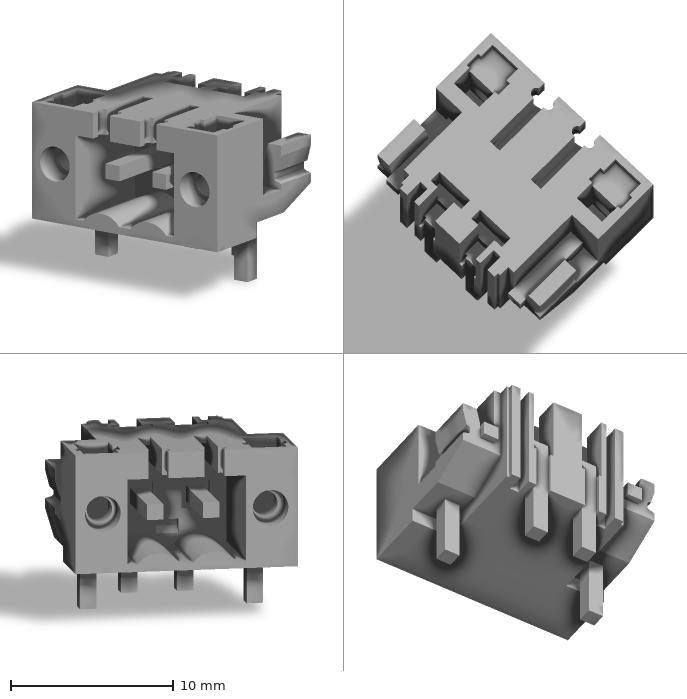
import cadquery as cq
import math


SIDES = (-1, 1)

width = 13.95
depth = 11.05
height = 7.45
core_half_width = 4.72
block_depth = 4.88

pin_width = 1.03
arm_height = 0.98
leg_depth = 1.02
arm_bottom = 3.0
arm_top = arm_bottom + arm_height
leg_bottom = -3.2

contact_x = 1.76
contact_tip_y = 1.2
contact_back_y = 10.71

anchor_x = core_half_width + pin_width / 2
anchor_front_y = 5.0
anchor_back_y = 10.52

cavity_width = 7.42
cavity_depth = 6.42
cavity_floor = 0.46
cavity_roof = 5.82
rib_radius = 1.73
rib_top = 1.12
contact_recess_size = 1.76
contact_recess_depth = 0.28
window_width = 1.4
window_bottom = 1.12
window_top = 2.0
window_slope = 0.42

slot_width = 0.85
slot_end_y = 5.04
slot_end_bottom = 6.95
neck_width = 1.25
lobe_radius = 0.33
lobe_offset = 0.53
lobe_y = 0.82

screw_x = 5.26
screw_z = 3.74
screw_radius = 1.12
screw_depth = 1.5
pilot_x = 5.19
pilot_radius = 0.8
pocket_x = 5.27
pocket_width = 2.19
pocket_front_y = 0.47
pocket_step_y = 2.52
pocket_back_y = 3.9
ear_width = 2.73
ear_x = 5.25
pocket_ledge_depth = 0.74
pocket_ledge = height - pocket_ledge_depth
nut_floor = screw_z - pocket_width / 2

shoulder_y = 10.03
shoulder_half_width = 4.24
rear_step_y = 10.74
rear_half_width = 4.06
notch_x = 3.14
notch_width = 0.61
notch_front_y = 9.88

channel_x = 1.75
channel_width = 1.4
channel_front_y = 9.43
inner_shelf_end_y = 10.55
outer_shelf = arm_bottom
tee_width = 2.61
tee_front_y = 8.6
tee_back_y = 9.37
tee_floor = 4.88

wing_front_y = 4.18
wing_bottom = 0.98
wing_floor = 2.5
wing_slope_y = 7.1
wing_rear_bottom = 2.25

latch_front_y = 6.82
latch_top = 5.3
latch_top_width = 0.98
latch_inner_bend = 4.23
latch_nose_z = 4.65
latch_nose_bottom = 3.63
latch_nose_inset = 0.27
groove_depth = 0.52
groove_upper_radius = 0.21
groove_wall_bottom = 3.07
groove_floor = 2.95
lip_width = 0.2
lip_edge = 2.86


def box(x_center, x_size, y_range, z_range):
    """A block centred on x_center that spans the given Y and Z ranges."""
    y0, y1 = y_range
    z0, z1 = z_range
    block = cq.Workplane("XY").box(x_size, y1 - y0, z1 - z0, centered=(True, False, False))
    return block.translate((x_center, y0, z0))


def cylinder_y(x, z, radius, y_range):
    """A cylinder along Y."""
    y0, y1 = y_range
    axis_start = cq.Vector(x, y0, z)
    return cq.Workplane(cq.Solid.makeCylinder(radius, y1 - y0, axis_start, cq.Vector(0, 1, 0)))


def cylinder_z(x, y, radius, z_range):
    """A cylinder along Z."""
    z0, z1 = z_range
    return cq.Workplane(cq.Solid.makeCylinder(radius, z1 - z0, cq.Vector(x, y, z0)))


def l_pin(x, arm_y_range, leg_front_y):
    """A horizontal arm along Y with a leg going down from it."""
    arm = box(x, pin_width, arm_y_range, (arm_bottom, arm_top))
    leg = box(x, pin_width, (leg_front_y, leg_front_y + leg_depth), (leg_bottom, arm_top))
    return arm.union(leg)


def contact(side):
    return l_pin(side * contact_x, (contact_tip_y, contact_back_y), contact_back_y - leg_depth)


def anchor(side):
    return l_pin(side * anchor_x, (anchor_front_y, anchor_back_y), anchor_front_y)


def housing_envelope():
    """Full-width front block with the narrower, stepped rear part behind it."""
    front = box(0, width, (0, wing_front_y), (0, height))
    front = front.union(box(0, width, (0, block_depth), (wing_bottom, height)))
    core = box(0, 2 * core_half_width, (0, shoulder_y), (wing_floor, height))
    shoulder = box(0, 2 * shoulder_half_width, (0, rear_step_y), (0, height))
    rear = box(0, 2 * rear_half_width, (0, depth), (0, height))
    return front.union(core).union(shoulder).union(rear)


def wing(side):
    """Shelf carrying the anchor, its underside rising towards the rear."""
    profile = (
        cq.Workplane("YZ")
        .moveTo(wing_front_y, wing_bottom)
        .lineTo(wing_slope_y, wing_bottom)
        .lineTo(shoulder_y, wing_rear_bottom)
        .lineTo(shoulder_y, wing_floor)
        .lineTo(wing_front_y, wing_floor)
        .close()
    )
    wing_width = width / 2 - shoulder_half_width
    start_x = shoulder_half_width if side > 0 else -width / 2
    return profile.extrude(wing_width).translate((start_x, 0, 0))


def latch():
    """Latch of the +X side: a hooked wall outside the anchor on a base below it."""
    outer = width / 2
    wall_x = outer - groove_depth
    anchor_outer = core_half_width + pin_width
    nose_inner_x = wall_x + groove_upper_radius
    nose_corner_mid = groove_upper_radius * (1 - math.sqrt(0.5))
    lip_x = outer - lip_width
    floor_run = lip_x - wall_x
    floor_drop = groove_wall_bottom - groove_floor
    floor_radius = (floor_run**2 + floor_drop**2) / (2 * floor_drop)
    half_sweep = math.asin(floor_run / floor_radius) / 2
    floor_mid_x = lip_x - floor_radius * math.sin(half_sweep)
    floor_mid_z = groove_floor + floor_radius * (1 - math.cos(half_sweep))
    profile = (
        cq.Workplane("XZ")
        .moveTo(core_half_width, wing_floor)
        .lineTo(core_half_width, arm_bottom)
        .lineTo(anchor_outer, arm_bottom)
        .lineTo(anchor_outer, latch_inner_bend)
        .lineTo(outer - latch_top_width, latch_top)
        .lineTo(outer, latch_top)
        .lineTo(outer, latch_nose_z)
        .lineTo(outer - latch_nose_inset, latch_nose_bottom)
        .lineTo(nose_inner_x, latch_nose_bottom)
        .threePointArc(
            (wall_x + nose_corner_mid, latch_nose_bottom - nose_corner_mid),
            (wall_x, latch_nose_bottom - groove_upper_radius),
        )
        .lineTo(wall_x, groove_wall_bottom)
        .threePointArc((floor_mid_x, floor_mid_z), (lip_x, groove_floor))
        .lineTo(outer, lip_edge)
        .lineTo(outer, wing_floor)
        .close()
    )
    return profile.extrude(latch_front_y - shoulder_y).translate((0, latch_front_y, 0))


def cavity():
    """Mating cavity, with a rounded rib left standing on its floor under each contact."""
    room = box(0, cavity_width, (0, cavity_depth), (cavity_floor, cavity_roof))
    for side in SIDES:
        rib_z = rib_top - rib_radius
        room = room.cut(cylinder_y(side * contact_x, rib_z, rib_radius, (0, cavity_depth)))
    return room


def contact_recess(side):
    """Square recess around the contact in the back wall of the cavity."""
    middle = (arm_bottom + arm_top) / 2
    half = contact_recess_size / 2
    y_range = (cavity_depth, cavity_depth + contact_recess_depth)
    return box(side * contact_x, contact_recess_size, y_range, (middle - half, middle + half))


def window():
    """Shallow recess with a sloping floor in the back wall of the cavity."""
    profile = (
        cq.Workplane("YZ")
        .moveTo(cavity_depth, window_bottom)
        .lineTo(cavity_depth + window_slope, window_bottom + window_slope)
        .lineTo(cavity_depth + window_slope, window_top)
        .lineTo(cavity_depth, window_top)
        .close()
    )
    return profile.extrude(window_width / 2, both=True)


def roof_slot(side):
    """Keyed slot through the cavity roof, with a round lobe on each side near the front."""
    x = side * contact_x
    roof = (cavity_roof, height)
    slot = box(x, slot_width, (0, slot_end_y), roof)
    slot = slot.union(box(x, slot_width, (0, cavity_depth), (cavity_roof, slot_end_bottom)))
    slot = slot.union(box(x, neck_width, (0, lobe_y), roof))
    slot = slot.union(box(x, 2 * lobe_offset, (lobe_y, lobe_y + lobe_radius), roof))
    for lobe_side in SIDES:
        slot = slot.union(cylinder_z(x + lobe_side * lobe_offset, lobe_y, lobe_radius, roof))
    return slot


def screw_hole(side):
    """Blind hole from the front, with a narrower one going on into the nut pocket."""
    hole = cylinder_y(side * screw_x, screw_z, screw_radius, (0, screw_depth))
    return hole.union(cylinder_y(side * pilot_x, screw_z, pilot_radius, (screw_depth, pocket_step_y)))


def nut_pocket(side):
    """Shallow pocket with two ears, and a deep nut pocket behind it."""
    ledge = (pocket_ledge, height)
    shallow = box(side * pocket_x, pocket_width, (pocket_front_y, pocket_step_y), ledge)
    ears = box(side * ear_x, ear_width, (screw_depth, pocket_step_y), ledge)
    nut = box(side * pocket_x, pocket_width, (pocket_step_y, pocket_back_y), (nut_floor, height))
    return shallow.union(ears).union(nut)


def contact_channel(side):
    """Stepped channel above a contact, ending in a wide tee, with a gap for its leg behind."""
    x = side * channel_x
    inner = box(x, channel_width, (channel_front_y, inner_shelf_end_y), (arm_top, height))
    outer = box(x, channel_width, (inner_shelf_end_y, depth), (outer_shelf, height))
    tee = box(x, tee_width, (tee_front_y, tee_back_y), (tee_floor, height))
    tee_neck = box(x, channel_width, (tee_back_y, channel_front_y), (tee_floor, height))
    gap = box(side * contact_x, pin_width, (contact_back_y - leg_depth, depth), (0, height))
    return inner.union(outer).union(tee).union(tee_neck).union(gap)


def rear_notch(side):
    return box(side * notch_x, notch_width, (notch_front_y, depth), (0, height))


contacts = [contact(side) for side in SIDES]
anchors = [anchor(side) for side in SIDES]

housing = housing_envelope()
for side in SIDES:
    housing = housing.union(wing(side))
right_latch = latch()
housing = housing.union(right_latch).union(right_latch.mirror("YZ"))

housing = housing.cut(cavity()).cut(window())
for side in SIDES:
    for cutter in (contact_recess, roof_slot, screw_hole, nut_pocket, contact_channel, rear_notch):
        housing = housing.cut(cutter(side))
for pin in contacts + anchors:
    housing = housing.cut(pin)

result = cq.Compound.makeCompound([housing.val(), *(pin.val() for pin in contacts + anchors)])